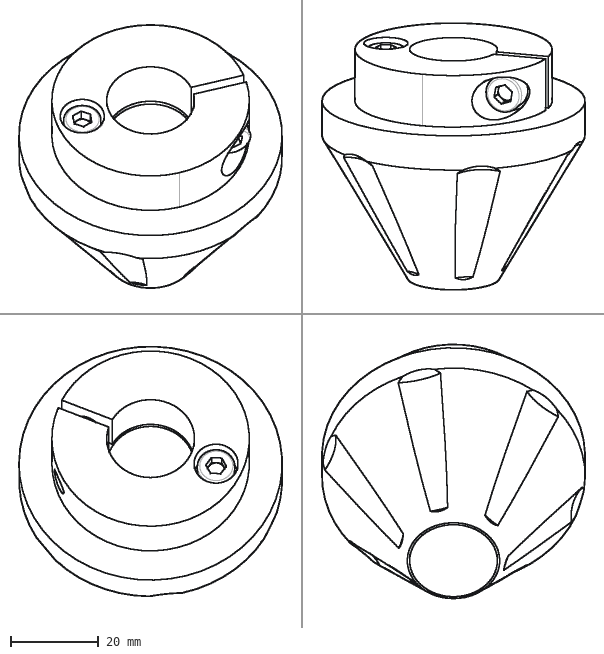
import cadquery as cq
import math

OUTER_DIA = 60.0
TOTAL_HEIGHT = 54.0
COLLAR_HEIGHT = 12.2
RIM_HEIGHT = 8.1
CONE_HALF_ANGLE = 30.0
OUTER_RADIUS = OUTER_DIA / 2
NOSE_HEIGHT = TOTAL_HEIGHT - COLLAR_HEIGHT
CONE_HEIGHT = NOSE_HEIGHT - RIM_HEIGHT
CONE_SLOPE = math.tan(math.radians(CONE_HALF_ANGLE))
TIP_RADIUS = OUTER_RADIUS - CONE_HEIGHT * CONE_SLOPE

BORE_DIA = OUTER_DIA / 3
BORE_CHAMFER = 1.0

FLUTE_COUNT = 6
FLUTE_FIRST_ANGLE = -90.0
FLUTE_RADIUS = 13.55
FLUTE_RUNOUT_ANGLE = 26.0
FLUTE_LOW_Z = 3.5
FLUTE_LOW_DEPTH = 0.3
FLUTE_HIGH_Z = 33.2
FLUTE_HIGH_DEPTH = 1.3

COLLAR_DIA = 45.0
SLOT_WIDTH = 2.1
CLAMP_SCREW_OFFSET = 16.0
FIXING_SCREW_OFFSET = (COLLAR_DIA + BORE_DIA) / 4
CLAMP_SCREW_Z = TOTAL_HEIGHT - COLLAR_HEIGHT / 2
CLAMP_SEAT_X = 7.2
PILOT_DIA = 4.2

SHANK_DIA = 5.0
SHANK_LENGTH = 16.0
HEAD_DIA = 8.5
HEAD_HEIGHT = SHANK_DIA
HEAD_EDGE = 0.5
SOCKET_FLATS = 4.0
SOCKET_DEPTH = 2.5
SOCKET_TURN = 20.0
SOCKET_CONE_ANGLE = 59.0
COUNTERBORE_DIA = BORE_DIA / 2
HEAD_RECESS = 0.95
FIXING_SEAT_Z = TOTAL_HEIGHT - HEAD_RECESS - HEAD_HEIGHT


def cylinder(diameter, low_z, high_z):
    """Upright cylinder on the Z axis."""
    return cq.Workplane("XY").workplane(offset=low_z).circle(diameter / 2).extrude(high_z - low_z)


def at_clamp_seat(body):
    """Turn a body from the +Z axis to the +X axis and move its origin to the clamp screw seat."""
    return body.rotate((0, 0, 0), (0, 1, 0), 90).translate((CLAMP_SEAT_X, CLAMP_SCREW_OFFSET, CLAMP_SCREW_Z))


def at_fixing_seat(body):
    """Move a body from the origin to the seat of the upright fixing screw."""
    return body.translate((0, -FIXING_SCREW_OFFSET, FIXING_SEAT_Z))


def make_screw():
    """Socket head screw along Z, with the underside of its head at z = 0."""
    head = cylinder(HEAD_DIA, 0, HEAD_HEIGHT).faces(">Z").edges().fillet(HEAD_EDGE)
    socket_floor = HEAD_HEIGHT - SOCKET_DEPTH
    socket = (
        cq.Workplane("XY")
        .workplane(offset=socket_floor)
        .polygon(6, SOCKET_FLATS, circumscribed=True)
        .extrude(SOCKET_DEPTH)
        .rotate((0, 0, 0), (0, 0, 1), SOCKET_TURN)
    )
    cone_radius = SOCKET_FLATS / 2
    cone_depth = cone_radius / math.tan(math.radians(SOCKET_CONE_ANGLE))
    socket_tip = cq.Workplane("XY").add(
        cq.Solid.makeCone(cone_radius, 0, cone_depth, cq.Vector(0, 0, socket_floor), cq.Vector(0, 0, -1))
    )
    shank = cylinder(SHANK_DIA, -SHANK_LENGTH, 0)
    return head.union(shank).cut(socket).cut(socket_tip)


def make_screw_hole(counterbore_depth):
    """Cutter for a screw: its shank hole, and a counterbore upward from the head seat."""
    counterbore = cylinder(COUNTERBORE_DIA, 0, counterbore_depth)
    return counterbore.union(cylinder(SHANK_DIA, -SHANK_LENGTH, 0))


def make_flute_cutter():
    """Solid of revolution for one flute, lying along the cone on the +X side."""

    def below_cone(z, depth):
        """Distance from the Z axis of a point sunk into the cone by a depth square to its surface."""
        surface_radius = TIP_RADIUS + z * CONE_SLOPE
        return surface_radius - depth / math.cos(math.radians(CONE_HALF_ANGLE))

    low_x = below_cone(FLUTE_LOW_Z, FLUTE_LOW_DEPTH)
    high_x = below_cone(FLUTE_HIGH_Z, FLUTE_HIGH_DEPTH)
    floor_length = math.hypot(high_x - low_x, FLUTE_HIGH_Z - FLUTE_LOW_Z)
    floor_tilt = math.degrees(math.atan2(high_x - low_x, FLUTE_HIGH_Z - FLUTE_LOW_Z))
    runout_length = FLUTE_RADIUS / math.tan(math.radians(FLUTE_RUNOUT_ANGLE))
    return (
        cq.Workplane("XZ")
        .moveTo(0, 0)
        .lineTo(0, floor_length)
        .lineTo(FLUTE_RADIUS, floor_length + runout_length)
        .lineTo(FLUTE_RADIUS, -runout_length)
        .close()
        .revolve(360, (FLUTE_RADIUS, 0), (FLUTE_RADIUS, 1))
        .rotate((0, 0, 0), (0, 1, 0), floor_tilt)
        .translate((low_x, 0, FLUTE_LOW_Z))
    )


def make_nose():
    """Conical nose with a cylindrical rim, a through bore and grip flutes."""
    nose = (
        cq.Workplane("XZ")
        .moveTo(0, 0)
        .lineTo(TIP_RADIUS, 0)
        .lineTo(OUTER_RADIUS, CONE_HEIGHT)
        .lineTo(OUTER_RADIUS, NOSE_HEIGHT)
        .lineTo(0, NOSE_HEIGHT)
        .close()
        .revolve(360, (0, 0), (0, 1))
    )
    flute_cutter = make_flute_cutter()
    for index in range(FLUTE_COUNT):
        angle = FLUTE_FIRST_ANGLE + index * 360 / FLUTE_COUNT
        nose = nose.cut(flute_cutter.rotate((0, 0, 0), (0, 0, 1), angle))

    nose = nose.cut(cylinder(BORE_DIA, 0, NOSE_HEIGHT))
    nose = nose.faces(">Z").edges("%CIRCLE").edges(cq.selectors.RadiusNthSelector(0)).chamfer(BORE_CHAMFER)
    return nose.cut(at_fixing_seat(make_screw_hole(HEAD_HEIGHT)))


def make_collar():
    """Split clamping collar that sits on the nose."""
    collar = cylinder(COLLAR_DIA, NOSE_HEIGHT, TOTAL_HEIGHT).cut(cylinder(BORE_DIA, NOSE_HEIGHT, TOTAL_HEIGHT))
    slot = cq.Workplane("XY").box(SLOT_WIDTH, COLLAR_DIA, COLLAR_HEIGHT, centered=(True, False, False))
    collar = collar.cut(slot.translate((0, 0, NOSE_HEIGHT)))
    collar = collar.cut(at_fixing_seat(make_screw_hole(HEAD_RECESS + HEAD_HEIGHT)))
    collar = collar.cut(at_clamp_seat(make_screw_hole(COLLAR_DIA)))
    return collar.cut(at_clamp_seat(cylinder(PILOT_DIA, -COLLAR_DIA, 0)))


nose = make_nose()
collar = make_collar()
screw = make_screw()
fixing_screw = at_fixing_seat(screw)
clamp_screw = at_clamp_seat(screw)

result = cq.Compound.makeCompound([nose.val(), collar.val(), fixing_screw.val(), clamp_screw.val()])